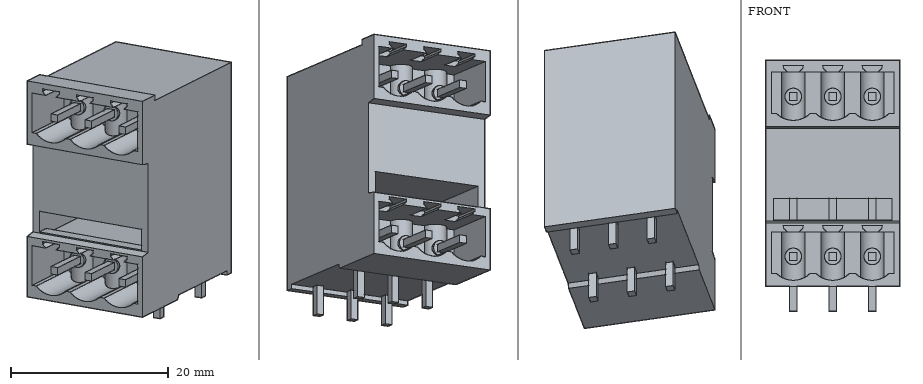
import cadquery as cq


WIDTH = 17.0
DEPTH = 22.0
HEIGHT = 31.85
UNDERSIDE_Z = 3.2
ROOF_DROP = 0.7
LIP_DEPTH = 3.12
ROOF_Z = HEIGHT - ROOF_DROP

MIDDLE_Y = 1.4
MIDDLE_TOP_Z = 23.2
UPPER_LIP_BOTTOM_Z = 23.45
MIDDLE_BOTTOM_Z = 11.45
LOWER_LIP_TOP_Z = 11.2

RECESS_HEIGHT = 0.57
RECESS_FRONT_Y = 8.7
RECESS_SLOPE = 0.35
RECESS_BACK_Y = 20.85

PITCH = 5.0
CONTACT_XS = [-PITCH, 0.0, PITCH]
UPPER_PIN_Z = 27.23
TIER_SPACING = 20.25
TIER_DROPS = [0.0, TIER_SPACING]
PIN_SIZE = 1.0
PIN_TIP_Y = 0.85
UPPER_LEG_Y = 20.15
LOWER_LEG_Y = 9.87
LEG_YS = [UPPER_LEG_Y, LOWER_LEG_Y]

POCKET_WIDTH = 15.55
POCKET_DEPTH = 7.95
POCKET_TOP_Z = 30.35
POCKET_FLOOR_Z = 25.1
SCALLOP_RADIUS = 3.03
COLUMN_RADIUS = 1.5
BOSS_RADIUS = 1.05

KEY_HALF_WIDTH = 1.25
KEY_FLARE = 0.48
KEY_DEPTH = 4.17

WINDOW_WIDTH = 15.05
WINDOW_TOP_Z = 14.33
WINDOW_BACK_Y = UPPER_LEG_Y - PIN_SIZE / 2


def box(x_size, y_range, z_range):
    """Box centred on X = 0 between the given Y and Z limits."""
    y_start, y_end = y_range
    z_start, z_end = z_range
    block = cq.Workplane("XY").box(x_size, y_end - y_start, z_end - z_start, centered=(True, False, False))
    return block.translate((0, y_start, z_start))


def front_extrusion(sketch, y_start, y_end):
    """Extrude an XZ outline rearwards between two Y positions."""
    return sketch.extrude(-(y_end - y_start)).translate((0, y_start, 0))


def make_block():
    """Side profile of the housing, extruded over its width."""
    recess_z = UNDERSIDE_Z + RECESS_HEIGHT
    profile = [
        (0, UNDERSIDE_Z),
        (0, LOWER_LIP_TOP_Z),
        (MIDDLE_Y, MIDDLE_BOTTOM_Z),
        (MIDDLE_Y, MIDDLE_TOP_Z),
        (0, UPPER_LIP_BOTTOM_Z),
        (0, HEIGHT),
        (LIP_DEPTH, HEIGHT),
        (LIP_DEPTH, ROOF_Z),
        (DEPTH, ROOF_Z),
        (DEPTH, UNDERSIDE_Z),
        (RECESS_BACK_Y, UNDERSIDE_Z),
        (RECESS_BACK_Y, recess_z),
        (RECESS_FRONT_Y + RECESS_SLOPE, recess_z),
        (RECESS_FRONT_Y, UNDERSIDE_Z),
    ]
    return cq.Workplane("YZ").polyline(profile).close().extrude(WIDTH / 2, both=True)


def make_pocket(drop):
    """Plug space of one tier: box and floor channels, less the columns and collars."""
    pin_z = UPPER_PIN_Z - drop
    top_z = POCKET_TOP_Z - drop
    channel_bottom_z = pin_z - SCALLOP_RADIUS
    column_front_y = POCKET_DEPTH - COLUMN_RADIUS
    pocket = box(POCKET_WIDTH, (0, POCKET_DEPTH), (POCKET_FLOOR_Z - drop, top_z))
    lower_half = box(POCKET_WIDTH, (0, POCKET_DEPTH), (channel_bottom_z, pin_z))
    for x in CONTACT_XS:
        circle = cq.Workplane("XZ").center(x, pin_z).circle(SCALLOP_RADIUS)
        pocket = pocket.union(front_extrusion(circle, 0, POCKET_DEPTH).intersect(lower_half))
    for x in CONTACT_XS:
        column = (
            cq.Workplane("XY", origin=(x, POCKET_DEPTH, channel_bottom_z))
            .circle(COLUMN_RADIUS)
            .extrude(top_z - channel_bottom_z)
        )
        boss = cq.Workplane("XZ").center(x, pin_z).circle(BOSS_RADIUS)
        pocket = pocket.cut(column).cut(front_extrusion(boss, column_front_y, POCKET_DEPTH))
    return pocket


def make_key_groove(x, drop):
    """Keying groove above one contact, from the front face to behind the lip."""
    roof_z = ROOF_Z - drop
    ceiling_z = POCKET_TOP_Z - drop
    flare_z = ceiling_z + KEY_FLARE
    narrow = KEY_HALF_WIDTH - KEY_FLARE
    corners = [
        (x - narrow, ceiling_z),
        (x - KEY_HALF_WIDTH, flare_z),
        (x - KEY_HALF_WIDTH, roof_z),
        (x + KEY_HALF_WIDTH, roof_z),
        (x + KEY_HALF_WIDTH, flare_z),
        (x + narrow, ceiling_z),
    ]
    outline = cq.Workplane("XZ").polyline(corners).close()
    return front_extrusion(outline, 0, KEY_DEPTH)


def make_window():
    """Opening above the lower tier: its floor steps down from that tier's lip to its roof."""
    lip_top_z = HEIGHT - TIER_SPACING
    roof_z = ROOF_Z - TIER_SPACING
    over_lip = box(WINDOW_WIDTH, (MIDDLE_Y, LIP_DEPTH), (lip_top_z, WINDOW_TOP_Z))
    over_roof = box(WINDOW_WIDTH, (LIP_DEPTH, WINDOW_BACK_Y), (roof_z, WINDOW_TOP_Z))
    return over_lip.union(over_roof)


def make_pin(x, pin_z, leg_y):
    """Square bent contact: a level blade with a leg turned down at its rear end."""
    half = PIN_SIZE / 2
    blade = box(PIN_SIZE, (PIN_TIP_Y, leg_y + half), (pin_z - half, pin_z + half))
    leg = box(PIN_SIZE, (leg_y - half, leg_y + half), (0, pin_z + half))
    return blade.union(leg).clean().translate((x, 0, 0))


def make_housing(pins):
    """Block with both pockets, their grooves, the window and a fitting hole for every pin."""
    housing = make_block().cut(make_window())
    for drop in TIER_DROPS:
        housing = housing.cut(make_pocket(drop))
        for x in CONTACT_XS:
            housing = housing.cut(make_key_groove(x, drop))
    for pin in pins:
        housing = housing.cut(pin)
    return housing


pins = []
for drop, leg_y in zip(TIER_DROPS, LEG_YS):
    for x in CONTACT_XS:
        pins.append(make_pin(x, UPPER_PIN_Z - drop, leg_y))
housing = make_housing(pins)

result = cq.Compound.makeCompound([housing.val(), *[pin.val() for pin in pins]])